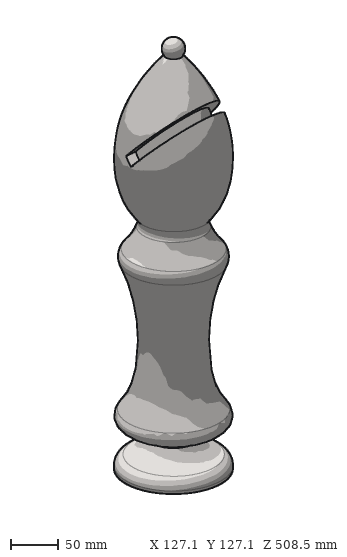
import cadquery as cq
import math

total_height = 508.5
max_radius = 63.5

rim_top = 4.0
foot_top = 17.0
waist_bottom = 36.5
waist_top = 44.0
lower_bead_top = 70.5
upper_bead_bottom = 244.5
upper_bead_top = 260.0
neck_bottom = 286.0
neck_top = 300.0
head_top = 488.0

ball_radius = 12.5
ball_center = total_height - ball_radius
head_top_radius = math.sqrt(ball_radius**2 - (ball_center - head_top) ** 2)

foot_radius = 54.0
waist_bottom_radius = 27.0
waist_top_radius = 35.0
lower_bead_radius = 60.0
upper_bead_bottom_radius = 58.0
upper_bead_top_radius = 56.0
neck_bottom_radius = 39.5
neck_top_radius = 41.5
shaft_radius = 38.5

head_curve = [
    (neck_top_radius, neck_top),
    (57.0, 326.5),
    (max_radius, 364.0),
    (57.0, 411.0),
    (40.5, 447.0),
    (head_top_radius, head_top),
]

slot_width = 12.5
slot_angle = 45.0
slot_depth = 14.5
slot_end_x = -12.5
slot_end_z = 386.5
slot_reach = 4 * max_radius


def turned_body():
    """Solid of revolution from the foot to the finial."""
    return (
        cq.Workplane("XZ")
        .lineTo(max_radius, 0)
        .lineTo(max_radius, rim_top)
        .threePointArc((61.0, 11.0), (foot_radius, foot_top))
        .threePointArc((35.5, 25.0), (waist_bottom_radius, waist_bottom))
        .threePointArc((28.5, 40.5), (waist_top_radius, waist_top))
        .spline([(52.0, 50.0), (62.0, 58.0), (lower_bead_radius, lower_bead_top)], includeCurrent=True)
        .spline(
            [
                (48.5, 89.5),
                (shaft_radius, 133.5),
                (shaft_radius, 169.0),
                (45.0, 208.5),
                (upper_bead_bottom_radius, upper_bead_bottom),
            ],
            includeCurrent=True,
        )
        .threePointArc((59.0, 252.5), (upper_bead_top_radius, upper_bead_top))
        .threePointArc((45.0, 274.0), (neck_bottom_radius, neck_bottom))
        .threePointArc((38.0, 293.0), (neck_top_radius, neck_top))
        .spline(head_curve[1:], includeCurrent=True)
        .threePointArc((ball_radius, ball_center), (0, total_height))
        .close()
        .revolve(360, (0, 0, 0), (0, 1, 0))
    )


def head_core():
    """Inner part of the head that the slot leaves standing."""
    core_curve = [(radius - slot_depth, height) for radius, height in head_curve[:-1]]
    return (
        cq.Workplane("XZ")
        .moveTo(0, neck_top)
        .lineTo(*core_curve[0])
        .spline(core_curve[1:], includeCurrent=True)
        .lineTo(0, head_top)
        .close()
        .revolve(360, (0, 0, 0), (0, 1, 0))
    )


def slot_cutter():
    """Slab rising toward +X, hollowed by the head core to set the slot depth."""
    slab = (
        cq.Workplane("XY")
        .box(slot_reach, slot_reach, slot_width, centered=(False, True, False))
        .translate((0, 0, -slot_width))
        .rotate((0, 0, 0), (0, 1, 0), -slot_angle)
        .translate((slot_end_x, 0, slot_end_z))
    )
    return slab.cut(head_core())


result = turned_body().cut(slot_cutter())